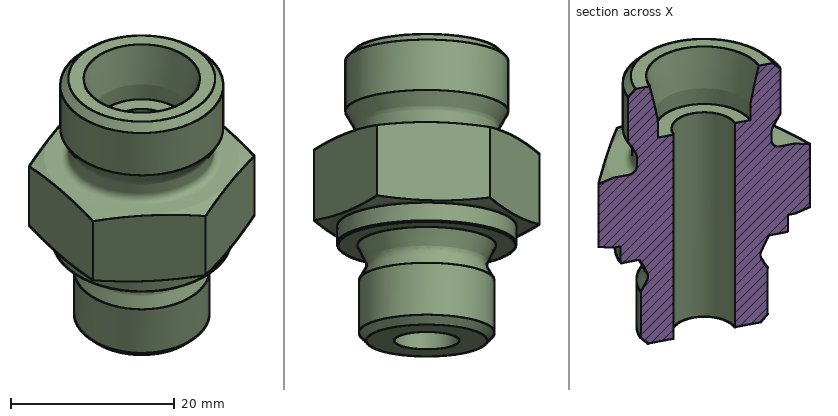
import cadquery as cq
import math

hex_across_flats = 24.0
hex_sides = 6
hex_height = 10.0
hex_corner_circle_diameter = 23.8
hex_chamfer_angle = 15.0

thread_runout_angle = 30.0

lower_length = 14.5
spigot_diameter = 16.66
spigot_tip_diameter = 14.8
spigot_chamfer_height = 1.0
spigot_shoulder_z = 7.6
lower_groove_z = 9.5
lower_groove_fillet = 1.0
collar_diameter = 22.0
collar_height = 2.4
collar_chamfer = 0.15
collar_cone_diameter = 17.0

upper_length = 12.0
connection_diameter = 20.0
connection_chamfer = 1.0
connection_length = 7.4
upper_groove_diameter = 17.7
upper_groove_fillet = 1.0

through_bore_diameter = 8.0
tube_bore_diameter = 12.0
tube_bore_depth = 7.5
cone_mouth_diameter = 14.25
cone_half_angle = 12.0

hex_bottom_z = lower_length
hex_top_z = hex_bottom_z + hex_height
total_height = hex_top_z + upper_length


def tan_degrees(angle):
    return math.tan(math.radians(angle))


def revolve_profile(points):
    """Revolve a closed (radius, z) outline about the Z axis."""
    return cq.Workplane("XZ").polyline(points).close().revolve(360, (0, 0, 0), (0, 1, 0))


def ring_edges_at(body, radius, z):
    """Select the circular edge of the given radius and height."""
    tolerance = 0.01
    reach = radius + tolerance
    inner = radius - tolerance
    outer_box = cq.selectors.BoxSelector(
        (-reach, -reach, z - tolerance), (reach, reach, z + tolerance), boundingbox=True
    )
    inner_box = cq.selectors.BoxSelector(
        (-inner, -inner, z - tolerance), (inner, inner, z + tolerance), boundingbox=True
    )
    return body.edges("%CIRCLE").edges(outer_box - inner_box)


def make_hexagon():
    """Hexagon with flats facing -X and +X, its corners chamfered at both ends."""
    half_side_angle = 180 / hex_sides
    corner_radius = hex_across_flats / 2 / math.cos(math.pi / hex_sides)
    prism = (
        cq.Workplane("XY", origin=(0, 0, hex_bottom_z))
        .polygon(hex_sides, 2 * corner_radius)
        .extrude(hex_height)
        .rotate((0, 0, 0), (0, 0, 1), half_side_angle)
    )
    corner_clearance = 1.0
    flat_radius = hex_corner_circle_diameter / 2
    envelope_radius = corner_radius + corner_clearance
    drop = (envelope_radius - flat_radius) * tan_degrees(hex_chamfer_angle)
    envelope = revolve_profile([
        (0, hex_bottom_z),
        (flat_radius, hex_bottom_z),
        (envelope_radius, hex_bottom_z + drop),
        (envelope_radius, hex_top_z - drop),
        (flat_radius, hex_top_z),
        (0, hex_top_z),
    ])
    return prism.intersect(envelope)


def make_lower_end():
    collar_z = lower_length - collar_height
    collar_radius = collar_diameter / 2
    spigot_radius = spigot_diameter / 2
    groove_radius = spigot_radius - (lower_groove_z - spigot_shoulder_z) * tan_degrees(thread_runout_angle)
    body = revolve_profile([
        (0, 0),
        (spigot_tip_diameter / 2, 0),
        (spigot_radius, spigot_chamfer_height),
        (spigot_radius, spigot_shoulder_z),
        (groove_radius, lower_groove_z),
        (collar_cone_diameter / 2, collar_z),
        (collar_radius - collar_chamfer, collar_z),
        (collar_radius, collar_z + collar_chamfer),
        (collar_radius, lower_length),
        (0, lower_length),
    ])
    return ring_edges_at(body, groove_radius, lower_groove_z).fillet(lower_groove_fillet)


def make_upper_end():
    connection_radius = connection_diameter / 2
    groove_radius = upper_groove_diameter / 2
    shoulder_z = total_height - connection_length
    groove_top_z = shoulder_z - (connection_radius - groove_radius) / tan_degrees(thread_runout_angle)
    body = revolve_profile([
        (0, hex_top_z),
        (groove_radius, hex_top_z),
        (groove_radius, groove_top_z),
        (connection_radius, shoulder_z),
        (connection_radius, total_height - connection_chamfer),
        (connection_radius - connection_chamfer, total_height),
        (0, total_height),
    ])
    return ring_edges_at(body, groove_radius, groove_top_z).fillet(upper_groove_fillet)


def make_bores():
    through_radius = through_bore_diameter / 2
    tube_radius = tube_bore_diameter / 2
    mouth_radius = cone_mouth_diameter / 2
    tube_floor_z = total_height - tube_bore_depth
    cone_depth = (mouth_radius - tube_radius) / tan_degrees(cone_half_angle)
    return revolve_profile([
        (0, 0),
        (through_radius, 0),
        (through_radius, tube_floor_z),
        (tube_radius, tube_floor_z),
        (tube_radius, total_height - cone_depth),
        (mouth_radius, total_height),
        (0, total_height),
    ])


def build_part():
    body = make_hexagon().union(make_lower_end()).union(make_upper_end())
    groove_foot = ring_edges_at(body, upper_groove_diameter / 2, hex_top_z)
    body = groove_foot.fillet(upper_groove_fillet)
    return body.cut(make_bores())


result = build_part()